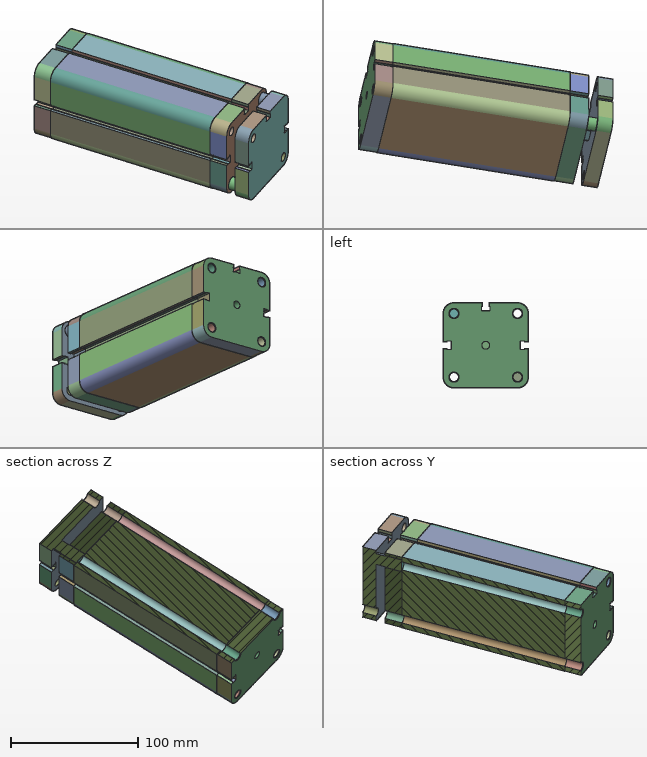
import cadquery as cq

total_length = 190.5
rear_cap_length = 14.5
front_cap_length = 14.9
plate_thickness = 12.0
plate_gap = 7.5
plate_x = total_length - plate_thickness
front_cap_end_x = plate_x - plate_gap
front_cap_x = front_cap_end_x - front_cap_length
tube_length = front_cap_x - rear_cap_length

tube_width = 67.0
cap_width = 66.5
corner_offset = 25.0
corner_holes = [(y, z) for y in (-corner_offset, corner_offset) for z in (-corner_offset, corner_offset)]
guide_spots = [(-corner_offset, -corner_offset), (corner_offset, corner_offset)]
screw_spots = [spot for spot in corner_holes if spot not in guide_spots]

tube_mouth_width = 5.3
cap_mouth_width = 5.7
slot_width = 6.5
lip_depth = 3.0
slot_depth = 6.3

hole_diameter = 7.0
hole_chamfer = 0.48
port_diameter = 6.1
port_depth = 7.6

guide_diameter = 10.5
piston_diameter = 16.0
piston_flats = 13.0
flat_runout = 1.1
piston_chamfer = 0.5


def yz_plane(x):
    """Workplane across the cylinder axis whose local axes are the global Y and Z."""
    return cq.Workplane("YZ", origin=(x, 0, 0))


def drill(body, x, length, spots, diameter):
    """Cut round holes along X at the given (y, z) spots."""
    return body.cut(yz_plane(x).pushPoints(spots).circle(diameter / 2).extrude(length))


def drill_chamfered(body, x, length, spots):
    """Drill corner holes whose mouths at station x are chamfered."""
    body = drill(body, x, length, spots, hole_diameter)
    mouth_radius = hole_diameter / 2 + hole_chamfer
    for y, z in spots:
        countersink = cq.Solid.makeCone(
            mouth_radius, hole_diameter / 2, hole_chamfer, cq.Vector(x, y, z), cq.Vector(1, 0, 0)
        )
        body = body.cut(cq.Workplane(countersink))
    return body


def profile_block(x, length, width, mouth_width):
    """Rounded square prism with a T-slot along its top and both flanks; the underside is plain."""
    block = yz_plane(x).rect(width, width).extrude(length)
    block = block.edges("|X").fillet(width / 2 - corner_offset)

    face = tube_width / 2
    floor_z = face - slot_depth
    cavity_height = slot_depth - lip_depth
    mouth = yz_plane(x).center(0, face - slot_depth / 2).rect(mouth_width, slot_depth).extrude(length)
    cavity = yz_plane(x).center(0, floor_z + cavity_height / 2).rect(slot_width, cavity_height).extrude(length)
    slot = mouth.union(cavity)
    for turn in (-90, 0, 90):
        block = block.cut(slot.rotate((0, 0, 0), (1, 0, 0), turn))
    return block


def make_rear_cap():
    cap = profile_block(0, rear_cap_length, cap_width, cap_mouth_width)
    cap = drill_chamfered(cap, 0, rear_cap_length, corner_holes)
    return drill(cap, 0, port_depth, [(0, 0)], port_diameter)


def make_tube():
    tube = profile_block(rear_cap_length, tube_length, tube_width, tube_mouth_width)
    return drill(tube, rear_cap_length, tube_length, corner_holes, hole_diameter)


def make_front_cap():
    cap = profile_block(front_cap_x, front_cap_length, cap_width, cap_mouth_width)
    cap = drill(cap, front_cap_x, front_cap_length, screw_spots, hole_diameter)
    cap = drill(cap, front_cap_x, front_cap_length, guide_spots, guide_diameter)
    return drill(cap, front_cap_x, front_cap_length, [(0, 0)], piston_diameter)


def make_guided_plate():
    """End plate with its two guide rods, which reach back to the tube."""
    plate = profile_block(plate_x, plate_thickness, cap_width, cap_mouth_width)
    plate = drill(plate, plate_x, plate_thickness, screw_spots, hole_diameter)
    guides = yz_plane(front_cap_x).pushPoints(guide_spots).circle(guide_diameter / 2)
    return plate.union(guides.extrude(plate_x - front_cap_x))


def make_piston_rod():
    """Rod through the front cap, with two wrench flats and a chamfered end against the plate."""
    radius = piston_diameter / 2
    rod = yz_plane(front_cap_x).circle(radius).extrude(plate_x - front_cap_x)
    rod = rod.faces(">X").chamfer(piston_chamfer)
    flat_cutter = (
        cq.Workplane("XZ")
        .moveTo(front_cap_end_x, radius)
        .lineTo(front_cap_end_x + flat_runout, piston_flats / 2)
        .lineTo(plate_x, piston_flats / 2)
        .lineTo(plate_x, radius)
        .close()
        .extrude(radius, both=True)
    )
    return rod.cut(flat_cutter).cut(flat_cutter.mirror("XY"))


rear_cap = make_rear_cap()
tube = make_tube()
front_cap = make_front_cap()
piston_rod = make_piston_rod()
guided_plate = make_guided_plate()

result = cq.Compound.makeCompound(
    [rear_cap.val(), tube.val(), front_cap.val(), piston_rod.val(), *guided_plate.solids().vals()]
)